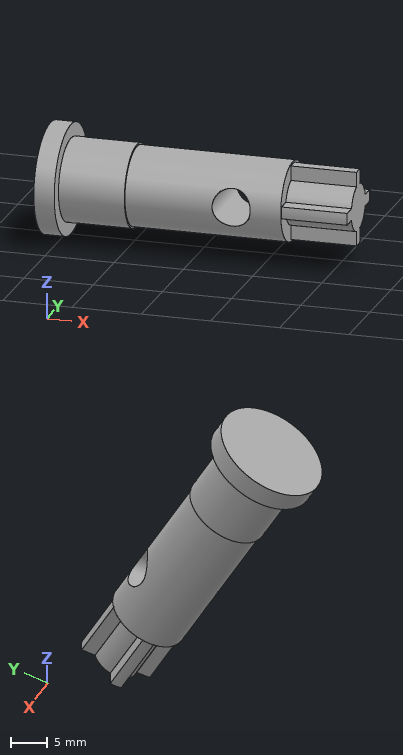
import cadquery as cq

total_length = 44.5
head_length = 3.0
collar_end = 12.5
body_end = 35.0
cross_hole_station = 27.85

head_diameter = 16.0
collar_diameter = 12.0
body_diameter = 11.5
cross_hole_diameter = 5.5

core_diameter = 6.75
rib_tip_diameter = 10.9
rib_width = 1.75

start = -total_length / 2


def cylinder(diameter, from_station, to_station):
    """Solid cylinder on the X axis between two stations."""
    plane = cq.Workplane("YZ", origin=(start + from_station, 0, 0))
    return plane.circle(diameter / 2).extrude(to_station - from_station)


def splined_end():
    """Core with two crossing pairs of ribs, rounded at the tips."""
    length = total_length - body_end
    plane = cq.Workplane("YZ", origin=(start + body_end, 0, 0))
    ribs = plane.rect(rib_width, rib_tip_diameter).extrude(length)
    ribs = ribs.union(plane.rect(rib_tip_diameter, rib_width).extrude(length))
    ribs = ribs.intersect(cylinder(rib_tip_diameter, body_end, total_length))
    return ribs.union(cylinder(core_diameter, body_end, total_length))


pin = cylinder(head_diameter, 0, head_length)
pin = pin.union(cylinder(collar_diameter, head_length, collar_end))
pin = pin.union(cylinder(body_diameter, collar_end, body_end))
pin = pin.union(splined_end())

cross_hole = (
    cq.Workplane("XZ", origin=(start + cross_hole_station, 0, 0))
    .circle(cross_hole_diameter / 2)
    .extrude(body_diameter, both=True)
)
result = pin.cut(cross_hole)